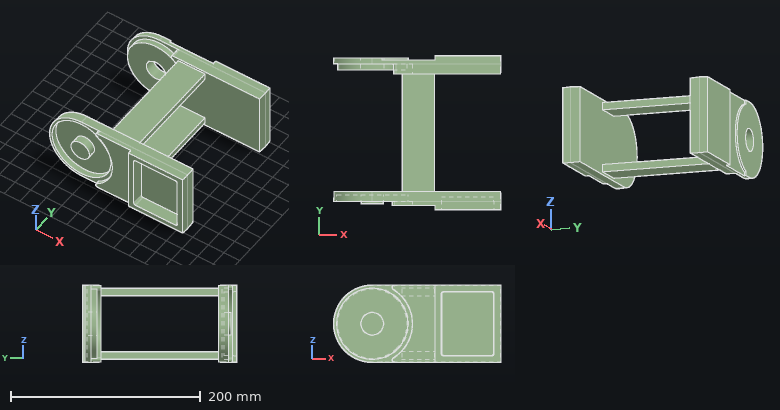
import cadquery as cq
import math

link_length = 177.0
link_width = 162.8
link_height = 82.0

end_radius = link_height / 2
end_x = link_length - end_radius
draft_angle = 2.4

pad_height = 4.4
seam_depth = 8.8
inner_layer_thickness = 10.7
front_seam_y = seam_depth
back_seam_y = link_width - seam_depth
cheek_thickness = seam_depth + inner_layer_thickness

pad_start_x = 65.8
pocket_length = 55.8
pocket_height = 67.8
pocket_center_x = 100.7
pocket_depth = 13.6
pocket_corner_radius = 2.5

seat_radius = end_radius + 1.3
front_tip_radius = 2.7
back_tip_radius = 3.2

recess_radius = 37.6
recess_depth = 7.0
pin_radius = 11.8
pin_protrusion = 2.4
disc_radius = 36.6
disc_height = 6.4
hole_radius = 12.2

boss_height = 2.1
boss_radius = 38.2
boss_shoulder_x = 10.6

bar_start_x = 31.5
bar_length = 34.3
bar_thickness = 8.0
bar_center_z = 33.5


def plane_at(y, direction):
    """Sketch plane at height y whose extrusions run toward +Y (1) or -Y (-1); local Y is world Z."""
    x_direction = (-direction, 0, 0)
    return cq.Workplane(cq.Plane(origin=(0, y, 0), xDir=x_direction, normal=(0, direction, 0)))


def arm_outline(y, direction, square_end_x):
    """Flat bar shape with one round end about the pivot."""
    side = -direction
    return (
        plane_at(y, direction)
        .moveTo(0, end_radius)
        .lineTo(side * square_end_x, end_radius)
        .lineTo(side * square_end_x, -end_radius)
        .lineTo(0, -end_radius)
        .threePointArc((-side * end_radius, 0), (0, end_radius))
        .close()
    )


def round_arm(y, direction, thickness, square_end_x=end_x):
    return arm_outline(y, direction, square_end_x).extrude(thickness, taper=draft_angle)


def lug(y, direction, thickness, tip_radius):
    """Square-ended block with a concave seat whose two tips are rounded tangent to seat and side."""
    side = -direction
    tip_center_z = end_radius - tip_radius
    tip_center_x = math.sqrt((seat_radius + tip_radius) ** 2 - tip_center_z**2)
    contact_ratio = seat_radius / (seat_radius + tip_radius)
    contact_x = side * tip_center_x * contact_ratio
    contact_z = tip_center_z * contact_ratio
    tip_left_x = side * (tip_center_x - tip_radius)
    outline = (
        plane_at(y, direction)
        .moveTo(side * tip_center_x, end_radius)
        .lineTo(side * end_x, end_radius)
        .lineTo(side * end_x, -end_radius)
        .lineTo(side * tip_center_x, -end_radius)
        .threePointArc((tip_left_x, -tip_center_z), (contact_x, -contact_z))
        .threePointArc((side * seat_radius, 0), (contact_x, contact_z))
        .threePointArc((tip_left_x, tip_center_z), (side * tip_center_x, end_radius))
        .close()
    )
    return outline.extrude(thickness, taper=draft_angle)


def pad(y, direction):
    """Raised block over the square end, reaching from the seam to the outer face."""
    pad_center_x = (pad_start_x + end_x) / 2
    return (
        plane_at(y, direction)
        .center(-direction * pad_center_x, 0)
        .rect(end_x - pad_start_x, link_height)
        .extrude(seam_depth, taper=draft_angle)
    )


def cylinder(y, direction, radius, height):
    return plane_at(y, direction).circle(radius).extrude(height)


def pad_pocket():
    """Blind rectangular pocket that narrows toward its floor."""
    return (
        plane_at(0, 1)
        .center(-pocket_center_x, 0)
        .sketch()
        .rect(pocket_length, pocket_height)
        .vertices()
        .fillet(pocket_corner_radius)
        .finalize()
        .extrude(pocket_depth, taper=draft_angle)
    )


def front_cheek():
    cheek = round_arm(front_seam_y, 1, inner_layer_thickness)
    cheek = cheek.union(lug(front_seam_y, -1, seam_depth - pad_height, front_tip_radius))
    cheek = cheek.union(pad(front_seam_y, -1))
    cheek = cheek.cut(pad_pocket())
    cheek = cheek.cut(cylinder(front_seam_y, 1, recess_radius, recess_depth))
    pin_floor_y = front_seam_y + recess_depth
    return cheek.union(cylinder(pin_floor_y, -1, pin_radius, recess_depth + pin_protrusion))


def outer_boss():
    """Round-ended boss, full height up to its shoulder and circular beyond it."""
    height = seam_depth - pad_height + boss_height
    shouldered_end = round_arm(back_seam_y, 1, height, boss_shoulder_x)
    return shouldered_end.union(cylinder(back_seam_y, 1, boss_radius, height))


def back_cheek():
    cheek = round_arm(back_seam_y, 1, seam_depth - pad_height)
    cheek = cheek.union(outer_boss())
    cheek = cheek.union(pad(back_seam_y, 1))
    cheek = cheek.union(lug(back_seam_y, -1, inner_layer_thickness, back_tip_radius))
    cheek = cheek.union(cylinder(back_seam_y, -1, disc_radius, disc_height))
    hole = cylinder(back_seam_y - disc_height, 1, hole_radius, disc_height + seam_depth)
    return cheek.cut(hole)


def cross_bar(center_z):
    bar_center = (bar_start_x + bar_length / 2, link_width / 2, center_z)
    bar_span = link_width - 2 * cheek_thickness
    return cq.Workplane("XY").box(bar_length, bar_span, bar_thickness).translate(bar_center)


result = front_cheek().union(back_cheek())
for bar_z in (bar_center_z, -bar_center_z):
    result = result.union(cross_bar(bar_z))